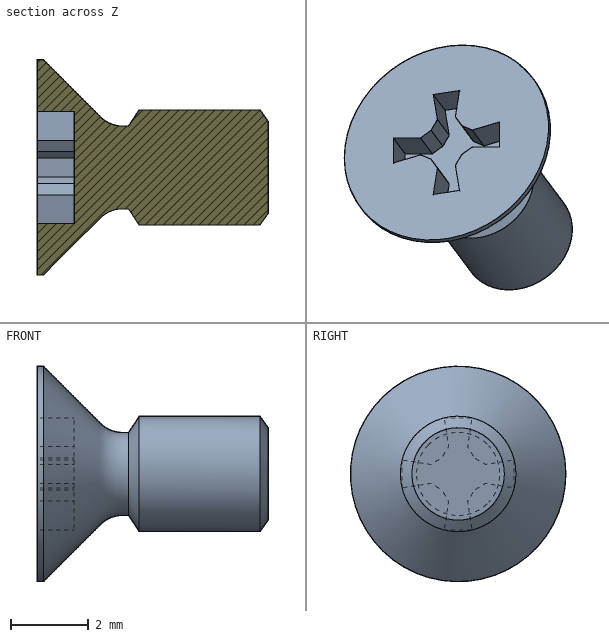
import cadquery as cq
import math

length = 6.0
head_radius = 5.6 / 2
shank_radius = 3.0 / 2
neck_radius = 2.16 / 2

rim_thickness = 0.16
cone_half_angle = math.radians(45)
blend_radius = 0.8

shoulder_start = 2.37
shoulder_length = 0.275
tip_chamfer_length = 0.215
tip_radius = 1.2

recess_depth = 0.96
arm_reach = 1.45
arm_end_half_width = 0.36
arm_root = 0.71
arm_root_half_width = 0.245
inner_corner = 0.42


def make_body():
    """Revolve the half profile of head, neck and shank about X."""
    blend_end_radius = neck_radius + blend_radius * (1 - math.cos(cone_half_angle))
    cone_length = (head_radius - blend_end_radius) / math.tan(cone_half_angle)
    blend_start = rim_thickness + cone_length
    neck_start = blend_start + blend_radius * math.sin(cone_half_angle)
    blend_middle = (
        neck_start - blend_radius * math.sin(cone_half_angle / 2),
        neck_radius + blend_radius * (1 - math.cos(cone_half_angle / 2)),
    )
    return (
        cq.Workplane("XY")
        .moveTo(0, 0)
        .lineTo(0, head_radius)
        .lineTo(rim_thickness, head_radius)
        .lineTo(blend_start, blend_end_radius)
        .threePointArc(blend_middle, (neck_start, neck_radius))
        .lineTo(shoulder_start, neck_radius)
        .lineTo(shoulder_start + shoulder_length, shank_radius)
        .lineTo(length - tip_chamfer_length, shank_radius)
        .lineTo(length, tip_radius)
        .lineTo(length, 0)
        .close()
        .revolve(360, (0, 0, 0), (1, 0, 0))
    )


def make_recess():
    """Cross-shaped cutter, built by turning one arm outline four times."""
    arm = [
        (arm_root, -arm_root_half_width),
        (arm_reach, -arm_end_half_width),
        (arm_reach, arm_end_half_width),
        (arm_root, arm_root_half_width),
        (inner_corner, inner_corner),
    ]
    outline = []
    for quarter in range(4):
        turn = quarter * math.pi / 2
        for y, z in arm:
            outline.append((
                y * math.cos(turn) - z * math.sin(turn),
                y * math.sin(turn) + z * math.cos(turn),
            ))
    return cq.Workplane("YZ").polyline(outline).close().extrude(recess_depth)


result = make_body().cut(make_recess())